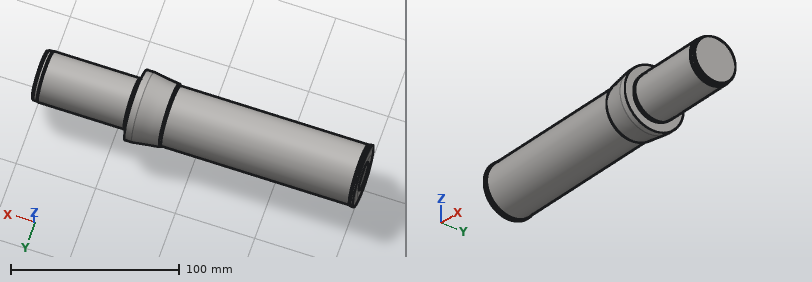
import cadquery as cq

total_length = 204.0
lip_front_x = 0.8
lip_back_x = 2.2
barrel_start_x = 3.5
barrel_end_x = 121.4
collar_start_x = 122.6
flange_start_x = 139.0
flange_end_x = 143.6

barrel_radius = 38.0 / 2
lip_radius = 19.4
collar_start_radius = 19.8
flange_radius = 44.0 / 2

crest_radii = (5.5, 13.3)
valley_radius = 9.0
crown_edge_radius = 17.0
crown_edge_x = 0.5
corrugation_depth = 0.6

shank_radius = 32.0 / 2
neck_radius = 31.5 / 2
front_neck_length = 1.6
rear_neck_length = 3.3
neck_taper = 0.8
end_chamfer_length = 1.2
end_chamfer_depth = 0.6


def revolve_about_x(profile):
    """Turn a closed (x, radius) profile about the X axis into one solid."""
    return cq.Workplane("XY").polyline(profile).close().revolve(360, (0, 0, 0), (1, 0, 0))


def make_housing():
    inner_crest_radius, outer_crest_radius = crest_radii
    end_face = [
        (corrugation_depth, 0),
        (0, inner_crest_radius),
        (corrugation_depth, valley_radius),
        (0, outer_crest_radius),
        (crown_edge_x, crown_edge_radius),
    ]
    barrel = [
        (lip_front_x, lip_radius),
        (lip_back_x, lip_radius),
        (barrel_start_x, barrel_radius),
        (barrel_end_x, barrel_radius),
    ]
    collar = [
        (collar_start_x, collar_start_radius),
        (flange_start_x, flange_radius),
        (flange_end_x, flange_radius),
        (flange_end_x, 0),
    ]
    return revolve_about_x(end_face + barrel + collar)


def make_shank():
    front_neck_end_x = flange_end_x + front_neck_length
    rear_neck_start_x = total_length - rear_neck_length
    profile = [
        (flange_end_x, 0),
        (flange_end_x, neck_radius),
        (front_neck_end_x, neck_radius),
        (front_neck_end_x + neck_taper, shank_radius),
        (rear_neck_start_x - neck_taper, shank_radius),
        (rear_neck_start_x, neck_radius),
        (total_length - end_chamfer_length, neck_radius),
        (total_length, neck_radius - end_chamfer_depth),
        (total_length, 0),
    ]
    return revolve_about_x(profile)


housing = make_housing()
shank = make_shank()
result = cq.Compound.makeCompound([housing.val(), shank.val()])